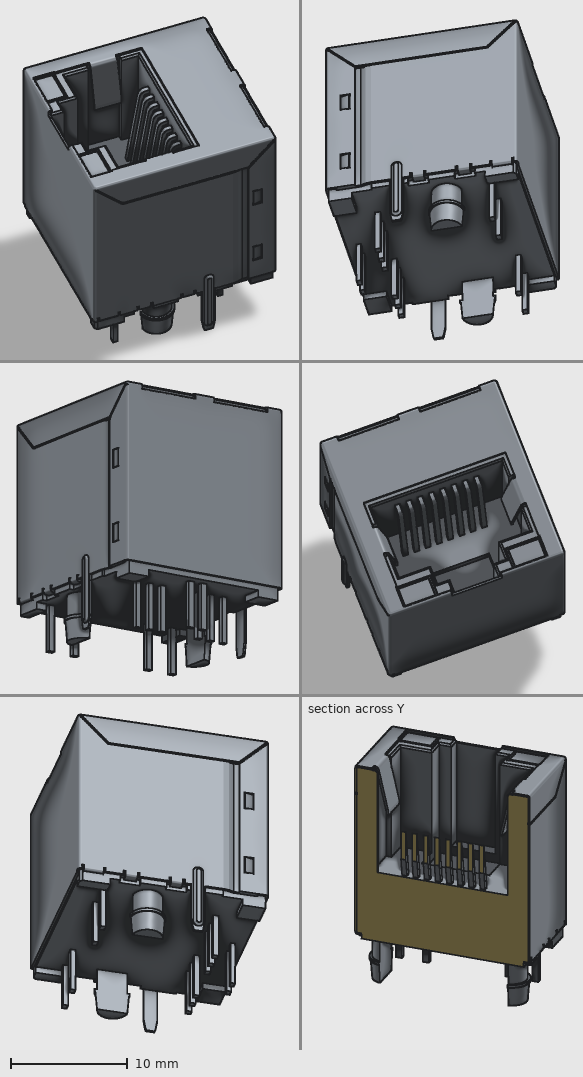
import cadquery as cq
import math


OVERALL_HEIGHT = 20.6
SHIELD_X = 16.2
SHIELD_Y = 16.9
SHIELD_TOP = 17.04
SHIELD_BOTTOM = 1.11
FRONT_LIP_BOTTOM = 0.95
FRONT_LIP_WIDTH = 15.16
SHEET = 0.2
BEND_RADIUS = 0.29
SIDE_X = SHIELD_X / 2
INNER_X = SIDE_X - SHEET
INNER_Y = SHIELD_Y / 2 - SHEET
INNER_TOP = SHIELD_TOP - SHEET

OPENING_X = 6.49
OPENING_REAR = 1.94
OPENING_FRONT = -8.08

NOTCH_DEPTH = 0.5
FRONT_NOTCH_WIDTH = 4.57
REAR_NOTCH_WIDTH = 5.52
REAR_NOTCH_X = 3.73

SLIT = 0.12
SLIT_TOP = 16.75
FLAP_BOTTOM = 14.4
FLAP_FRONT = -5.75
FLAP_REAR = 5.8

JOGGLE_START = 4.43
JOGGLE_MIDDLE = 4.92
JOGGLE_END = 5.35
JOGGLE_FIRST_STEP = 0.06
REAR_FLAP_EDGE = 5.85
TONGUE_END = 7.52
WINDOW_FRONT = 6.26
WINDOW_REAR = 7.1
WINDOW_HEIGHT = 1.6
WINDOW_CENTERS_Z = (3.93, 10.55)
BARB_FRONT = 6.37
BARB_HEIGHT = 0.16

TAB_SPANS = ((-0.2, 0.82), (-4.25, -3.17), (-7.93, -6.18))
TAB_REACH = 0.62
TAB_RELIEF = 0.19
TAB_RELIEF_TOP = 1.48

LOCK_Y = 2.18
LOCK_WIDTH = 1.22
LOCK_TIP_WIDTH = 0.75
LOCK_TIP = SHIELD_TOP - OVERALL_HEIGHT
LOCK_TAPER_START = -2.47
LOCK_SHOULDER = -3.35
LOCK_SHOULDER_WIDTH = 0.9
BEAD_TOP = 2.95
BEAD_BOTTOM = -3.1
BEAD_WIDTH = 0.9
BEAD_CREST = 0.4
BEAD_HEIGHT = 0.2

SPRING_REAR = -0.47
SPRING_FRONT = -2.95
SPRING_RADIUS = 0.45
SPRING_LEAN = math.radians(13)
SPRING_LENGTH = 3.85
SPRING_LIP = 0.41

BASE_Z = 0.6
HOUSING_CORNER = 0.23
REAR_X = INNER_X - SHEET
SOCKET_FLOOR = 7.2
LEAD_IN = 0.16

SOCKET_X = 6.15
SOCKET_REAR = 1.59
SOCKET_FRONT = -5.52
KEY_X = 3.3
KEY_FRONT = -7.23
LATCH_X = 2.18
LATCH_WELL_REAR = -3.0
LATCH_WELL_DEPTH = 0.82
SPRING_SLOT_REAR = -0.15
SPRING_SLOT_FRONT = -3.2

LED_OUTER_X = 6.57
LED_INNER_X = 3.45
LED_REAR = -6.14
LED_GAP_OUTER = 0.15
LED_GAP = 0.2
LED_GAP_FRONT = 0.1
LED_GROOVE_DEPTH = 0.3

FRONT_FOOT_X = 6.9
FRONT_FOOT_REAR = -5.55
REAR_FOOT_X = 5.66
REAR_FOOT_FRONT = 6.22
POCKET_SPANS = ((-0.55, 1.25), (-4.65, -2.85))
POCKET_TOP = FRONT_LIP_BOTTOM + SHEET
PEG_X = 5.73
PEG_Y = -1.73
PEG_FLAT_X = 5.93
PEG_RADIUS = 1.35
COLLAR_RADIUS = 1.59
PEG_BARREL_RADIUS = 1.5
COLLAR_TOP = -1.45
COLLAR_BOTTOM = -1.7
PIN_TIP = -3.5

CONTACT_COUNT = 8
CONTACT_PITCH = 1.03
CONTACT_WIDTH = 0.45
CONTACT_THICKNESS = 0.41
CONTACT_TOP = 14.98
CONTACT_BEND_Y = 1.07
CONTACT_RADIUS = 0.62
CONTACT_END_Y = -0.65

LED_PINS = (-5.83, 0.55, 0.45, (3.81, 6.28))
SIGNAL_PINS = (4.64, 0.47, 0.47, (1.9, 3.15, 4.45))
REAR_PINS = (7.15, 0.58, 0.4, (0.64,))


def block(x0, x1, y0, y1, z0, z1):
    """Box between two opposite corners."""
    return (
        cq.Workplane("XY")
        .box(x1 - x0, y1 - y0, z1 - z0, centered=False)
        .translate((x0, y0, z0))
    )


def both_sides(shape):
    """The shape together with its mirror image across X = 0."""
    return shape.union(shape.mirror("YZ"))


def shield_shell():
    """Five-sided sheet box, open at the bottom, with the socket opening and bend notches."""
    height = SHIELD_TOP - FRONT_LIP_BOTTOM
    outer = (
        cq.Workplane("XY", origin=(0, 0, FRONT_LIP_BOTTOM))
        .box(SHIELD_X, SHIELD_Y, height, centered=(True, True, False))
        .edges("|Z or >Z")
        .fillet(BEND_RADIUS)
    )
    inner = (
        cq.Workplane("XY", origin=(0, 0, FRONT_LIP_BOTTOM))
        .box(2 * INNER_X, 2 * INNER_Y, height - SHEET, centered=(True, True, False))
        .edges("|Z or >Z")
        .fillet(BEND_RADIUS - SHEET)
    )
    shell = outer.cut(inner)

    lip_x = FRONT_LIP_WIDTH / 2
    shell = shell.cut(block(-SIDE_X, SIDE_X, -INNER_Y, SHIELD_Y / 2, FRONT_LIP_BOTTOM, SHIELD_BOTTOM))
    corner = block(lip_x, SIDE_X, -SHIELD_Y / 2, -INNER_Y, FRONT_LIP_BOTTOM, SHIELD_BOTTOM)
    shell = shell.cut(both_sides(corner))

    opening = block(-OPENING_X, OPENING_X, OPENING_FRONT, OPENING_REAR, INNER_TOP, SHIELD_TOP)
    led = block(LED_INNER_X, LED_OUTER_X, OPENING_FRONT, LED_REAR, INNER_TOP, SHIELD_TOP)
    shell = shell.cut(opening).cut(both_sides(led))

    notch_z = SHIELD_TOP - NOTCH_DEPTH
    notch_x = FRONT_NOTCH_WIDTH / 2
    front_notch = block(-notch_x, notch_x, -SHIELD_Y / 2, OPENING_FRONT, notch_z, SHIELD_TOP)
    rear_notch = block(
        REAR_NOTCH_X - REAR_NOTCH_WIDTH / 2,
        REAR_NOTCH_X + REAR_NOTCH_WIDTH / 2,
        SHIELD_Y / 2 - NOTCH_DEPTH,
        SHIELD_Y / 2,
        notch_z,
        SHIELD_TOP,
    )
    return shell.cut(front_notch).cut(both_sides(rear_notch))


def flap_outline(margin):
    """Trapezoid of the top flap, grown outward by a margin, through the +X side sheet."""
    rise = SLIT_TOP - FLAP_BOTTOM
    spread = margin * math.tan(math.pi / 8)
    top_spread = rise + margin * math.sqrt(2)
    return (
        cq.Workplane("YZ", origin=(INNER_X, 0, 0))
        .polyline([
            (FLAP_FRONT - top_spread, SLIT_TOP),
            (FLAP_FRONT - spread, FLAP_BOTTOM - margin),
            (FLAP_REAR + spread, FLAP_BOTTOM - margin),
            (FLAP_REAR + top_spread, SLIT_TOP),
        ])
        .close()
        .extrude(SHEET)
    )


def joggle():
    """Stepped strip of the side panel that runs under the rear flap, with latch barbs."""
    steps = [
        (SIDE_X, JOGGLE_START),
        (SIDE_X - JOGGLE_FIRST_STEP, JOGGLE_MIDDLE),
        (INNER_X, JOGGLE_END),
        (INNER_X, TONGUE_END),
    ]
    inner_steps = [(x - SHEET, y) for x, y in reversed(steps)]
    top = FLAP_BOTTOM - SLIT
    strip = (
        cq.Workplane("XY", origin=(0, 0, SHIELD_BOTTOM))
        .polyline(steps + inner_steps)
        .close()
        .extrude(top - SHIELD_BOTTOM)
    )
    for z in WINDOW_CENTERS_Z:
        barb = (
            cq.Workplane("XY", origin=(0, 0, z - WINDOW_HEIGHT / 2))
            .polyline([
                (INNER_X, BARB_FRONT),
                (INNER_X + BARB_HEIGHT, BARB_FRONT),
                (INNER_X, WINDOW_REAR),
            ])
            .close()
            .extrude(WINDOW_HEIGHT)
        )
        strip = strip.union(barb)
    return strip


def bottom_tab(front, rear):
    """Tab rolled inward from the lower edge of the +X side."""
    return (
        block(SIDE_X - TAB_REACH, SIDE_X, front, rear, FRONT_LIP_BOTTOM, TAB_RELIEF_TOP)
        .edges("|Y and >X and <Z")
        .fillet(BEND_RADIUS)
        .cut(block(SIDE_X - TAB_REACH, INNER_X, front, rear, POCKET_TOP, TAB_RELIEF_TOP))
    )


def board_lock():
    """Tapered tail in the plane of the +X side, stiffened by a raised bead."""
    half = LOCK_WIDTH / 2
    shoulder = LOCK_SHOULDER_WIDTH / 2
    tip = LOCK_TIP_WIDTH / 2
    tail = (
        cq.Workplane("YZ", origin=(INNER_X, LOCK_Y, 0))
        .polyline([
            (-half, SHIELD_BOTTOM),
            (-half, LOCK_TAPER_START),
            (-shoulder, LOCK_SHOULDER),
            (-tip, LOCK_TIP),
            (tip, LOCK_TIP),
            (shoulder, LOCK_SHOULDER),
            (half, LOCK_TAPER_START),
            (half, SHIELD_BOTTOM),
        ])
        .close()
        .extrude(SHEET)
    )
    flank = math.degrees(math.atan2((BEAD_WIDTH - BEAD_CREST) / 2, BEAD_HEIGHT))
    bead = (
        cq.Workplane("YZ", origin=(SIDE_X, LOCK_Y, (BEAD_TOP + BEAD_BOTTOM) / 2))
        .slot2D(BEAD_TOP - BEAD_BOTTOM, BEAD_WIDTH, 90)
        .extrude(BEAD_HEIGHT, taper=flank)
    )
    return tail, bead


def ground_spring():
    """Leaf bent down from the +X edge of the opening, leaning into the socket to an upright lip."""
    center_z = SHIELD_TOP - SPRING_RADIUS
    turn = math.pi / 2 - SPRING_LEAN

    def on_arc(radius, angle):
        return (OPENING_X - radius * math.sin(angle), center_z + radius * math.cos(angle))

    def down_leaf(point):
        x, z = point
        return (x - SPRING_LENGTH * math.sin(SPRING_LEAN), z - SPRING_LENGTH * math.cos(SPRING_LEAN))

    inner_radius = SPRING_RADIUS - SHEET
    outer_tip = down_leaf(on_arc(SPRING_RADIUS, turn))
    inner_tip = down_leaf(on_arc(inner_radius, turn))
    lip_end = outer_tip[1] - SPRING_LIP
    return (
        cq.Workplane("XZ", origin=(0, SPRING_REAR, 0))
        .moveTo(*on_arc(SPRING_RADIUS, 0))
        .threePointArc(on_arc(SPRING_RADIUS, turn / 2), on_arc(SPRING_RADIUS, turn))
        .lineTo(*outer_tip)
        .lineTo(outer_tip[0], lip_end)
        .lineTo(inner_tip[0], lip_end)
        .lineTo(*inner_tip)
        .lineTo(*on_arc(inner_radius, turn))
        .threePointArc(on_arc(inner_radius, turn / 2), on_arc(inner_radius, 0))
        .close()
        .extrude(SPRING_REAR - SPRING_FRONT)
    )


def make_shield():
    shield = shield_shell()

    slit = flap_outline(SLIT).cut(flap_outline(0))
    seam = block(INNER_X, SIDE_X, JOGGLE_START, REAR_FLAP_EDGE, SHIELD_BOTTOM, FLAP_BOTTOM)
    side_cuts = slit.union(seam)
    for z in WINDOW_CENTERS_Z:
        z0 = z - WINDOW_HEIGHT / 2
        window = block(INNER_X, SIDE_X, WINDOW_FRONT, WINDOW_REAR, z0, z0 + WINDOW_HEIGHT)
        side_cuts = side_cuts.union(window)
    for front, rear in TAB_SPANS:
        relief = block(
            INNER_X, SIDE_X, front - TAB_RELIEF, rear + TAB_RELIEF, SHIELD_BOTTOM, TAB_RELIEF_TOP
        )
        side_cuts = side_cuts.union(relief)
    shield = shield.cut(both_sides(side_cuts))

    shield = shield.union(both_sides(joggle()))
    for front, rear in TAB_SPANS:
        shield = shield.union(both_sides(bottom_tab(front, rear)))
    tail, bead = board_lock()
    shield = shield.union(both_sides(tail)).union(both_sides(bead))
    return shield.union(both_sides(ground_spring()))


def housing_block():
    """Plastic block that fills the shield, narrower behind the joggled side panels,
    with board feet and pockets for the bent tabs.
    """
    body = block(-INNER_X, INNER_X, -INNER_Y, INNER_Y, BASE_Z, INNER_TOP)
    front_foot = block(FRONT_FOOT_X, INNER_X, -INNER_Y, FRONT_FOOT_REAR, 0, BASE_Z)
    rear_foot = block(REAR_FOOT_X, REAR_X, REAR_FOOT_FRONT, INNER_Y, 0, BASE_Z)
    body = body.union(both_sides(front_foot)).union(both_sides(rear_foot))
    body = body.edges("|Z and <Y and (>X or <X)").chamfer(HOUSING_CORNER)
    rear_step = block(REAR_X, INNER_X, JOGGLE_START, INNER_Y, BASE_Z, FLAP_BOTTOM - SLIT)
    body = body.cut(both_sides(rear_step))
    for front, rear in POCKET_SPANS:
        pocket = block(SIDE_X - TAB_REACH, INNER_X, front, rear, BASE_Z, POCKET_TOP)
        body = body.cut(both_sides(pocket))
    return body


def socket_outline(inset):
    """Stepped plug outline on the housing top, drawn in from the mouth by an inset."""
    side = SOCKET_X - inset
    key = KEY_X - inset
    latch = LATCH_X - inset
    half = [
        (side, SOCKET_REAR - inset),
        (side, SOCKET_FRONT + inset),
        (key, SOCKET_FRONT + inset),
        (key, KEY_FRONT + inset),
        (latch, KEY_FRONT + inset),
        (latch, -INNER_Y),
    ]
    other_half = [(-x, y) for x, y in reversed(half)]
    return cq.Workplane("XY", origin=(0, 0, INNER_TOP)).polyline(half + other_half).close()


def socket():
    """Plug cavity with its lead-in, latch well and spring slots."""
    cavity = socket_outline(LEAD_IN).extrude(SOCKET_FLOOR - INNER_TOP)
    mouth_top = socket_outline(0).val()
    mouth_bottom = socket_outline(LEAD_IN).val().translate(cq.Vector(0, 0, -LEAD_IN))
    mouth = cq.Workplane(cq.Solid.makeLoft([mouth_top, mouth_bottom], True))
    well_x = KEY_X - LEAD_IN
    well = block(
        -well_x,
        well_x,
        KEY_FRONT + LEAD_IN,
        LATCH_WELL_REAR,
        SOCKET_FLOOR - LATCH_WELL_DEPTH,
        SOCKET_FLOOR,
    )
    slots = block(
        -OPENING_X, OPENING_X, SPRING_SLOT_FRONT, SPRING_SLOT_REAR, SOCKET_FLOOR, INNER_TOP
    )
    return cavity.union(mouth).union(well).union(slots)


def led_groove():
    """Groove that outlines the +X light window."""
    bottom = INNER_TOP - LED_GROOVE_DEPTH
    outer = block(LED_INNER_X, LED_OUTER_X, OPENING_FRONT, LED_REAR, bottom, INNER_TOP)
    window = block(
        LED_INNER_X + LED_GAP,
        LED_OUTER_X - LED_GAP_OUTER,
        OPENING_FRONT + LED_GAP_FRONT,
        LED_REAR - LED_GAP,
        bottom,
        INNER_TOP,
    )
    return outer.cut(window)


def contact(x):
    """Wire hooked out of the rear socket wall, bent down and sloping to the socket floor."""
    wall_y = SOCKET_REAR
    center_z = CONTACT_TOP - CONTACT_RADIUS
    drop = center_z - SOCKET_FLOOR
    lean = math.atan2(CONTACT_BEND_Y - CONTACT_RADIUS - CONTACT_END_Y, drop)
    turn = math.pi / 2 - lean
    inner_radius = CONTACT_RADIUS - CONTACT_THICKNESS

    def on_arc(radius, angle):
        return (CONTACT_BEND_Y - radius * math.sin(angle), center_z + radius * math.cos(angle))

    def on_floor(point):
        y, z = point
        return (y - (z - SOCKET_FLOOR) * math.tan(lean), SOCKET_FLOOR)

    return (
        cq.Workplane("YZ", origin=(x - CONTACT_WIDTH / 2, 0, 0))
        .moveTo(wall_y, CONTACT_TOP)
        .lineTo(*on_arc(CONTACT_RADIUS, 0))
        .threePointArc(on_arc(CONTACT_RADIUS, turn / 2), on_arc(CONTACT_RADIUS, turn))
        .lineTo(*on_floor(on_arc(CONTACT_RADIUS, turn)))
        .lineTo(*on_floor(on_arc(inner_radius, turn)))
        .lineTo(*on_arc(inner_radius, turn))
        .threePointArc(on_arc(inner_radius, turn / 2), on_arc(inner_radius, 0))
        .lineTo(wall_y, CONTACT_TOP - CONTACT_THICKNESS)
        .close()
        .extrude(CONTACT_WIDTH)
    )


def peg():
    """Half-round board peg on the +X side, with a collar and a tapered barrel."""
    turned = (
        cq.Workplane("XZ")
        .polyline([
            (0, BASE_Z),
            (PEG_RADIUS, BASE_Z),
            (PEG_RADIUS, COLLAR_TOP),
            (COLLAR_RADIUS, COLLAR_TOP),
            (COLLAR_RADIUS, COLLAR_BOTTOM),
            (PEG_BARREL_RADIUS, COLLAR_BOTTOM),
            (PEG_RADIUS, PIN_TIP),
            (0, PIN_TIP),
        ])
        .close()
        .revolve(360, (0, 0, 0), (0, 1, 0))
        .translate((PEG_X, PEG_Y, 0))
    )
    reach = PEG_X + COLLAR_RADIUS
    outer_half = block(
        PEG_FLAT_X, reach, PEG_Y - COLLAR_RADIUS, PEG_Y + COLLAR_RADIUS, PIN_TIP, BASE_Z
    )
    return turned.intersect(outer_half)


def make_housing(shield):
    housing = housing_block().cut(socket()).cut(both_sides(led_groove()))
    for i in range(CONTACT_COUNT):
        housing = housing.union(contact((i - (CONTACT_COUNT - 1) / 2) * CONTACT_PITCH))
    housing = housing.union(both_sides(peg()))
    for row_y, size_x, size_y, places in (LED_PINS, SIGNAL_PINS, REAR_PINS):
        for x in places:
            pin = block(
                x - size_x / 2,
                x + size_x / 2,
                row_y - size_y / 2,
                row_y + size_y / 2,
                PIN_TIP,
                BASE_Z,
            )
            housing = housing.union(both_sides(pin))

    return housing.cut(shield)


shield = make_shield()
housing = make_housing(shield)
result = cq.Compound.makeCompound([shield.solids().val(), housing.solids().val()])